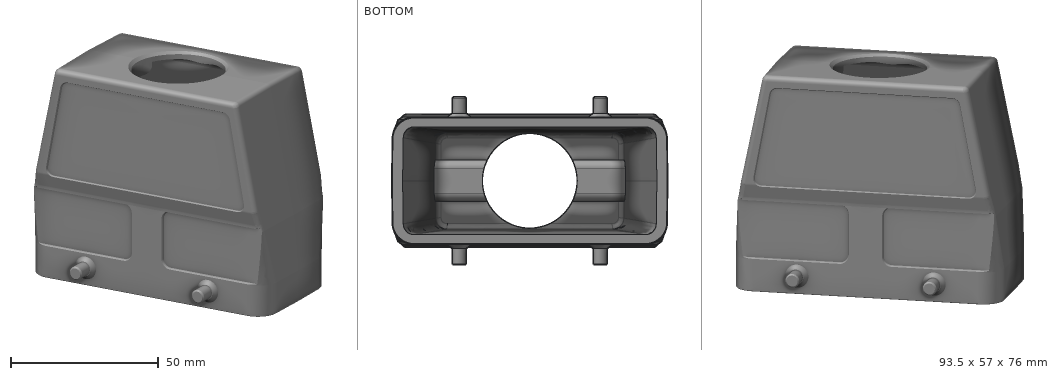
import cadquery as cq

base_half_x = 46.75
base_half_y = 21.5
base_top_z = 11.2
base_corner_radius = 7.3
bend_z = 30.9
shoulder_low_z = 32.35
shoulder_high_z = 37.6
upper_half_y = 22.6
top_half_x = 35.8
ridge_z = 76.0
ridge_drop = 0.4
end_slope = 0.206
end_crown = 0.3
upper_edge_radius = 1.9
shoulder_low_radius = 5.6
shoulder_high_radius = 2.8
base_edge_chamfer = 0.3
edge_tolerance = 0.1

cavity_bottom_half = (43.0, 18.2)
cavity_top_half = (31.8, 16.3)
cavity_corner_radius = 3.7
cavity_roof_radius = 1.9
roof_thickness = 2.9
pad_half_y = 7.0
pad_bottom_z = 69.2
pad_corner_radius = 2.8

entry_diameter = 32.0
entry_chamfer = 1.1

panel_draft = 25.0
window_bottom_z = 36.9
window_top_z = 71.8
window_bottom_half = 39.3
window_top_half = 32.7
window_depth = 0.75
window_corner_radius = 2.8
recess_inner_x = 5.8
recess_outer_x = base_half_x + 1.9
recess_bottom_z = 11.4
recess_top_z = 32.2
recess_depth = 0.8
recess_corner_radius = 3.3

pin_x = 23.8
pin_z = 6.3
pin_diameter = 4.8
pin_tip_y = 28.5
pin_tip_chamfer = 0.5
collar_root_diameter = 8.0
collar_tip_diameter = 5.2
collar_length = 1.3
pin_root_depth = 0.9


def rounded_section(half_x, half_y, radius, z):
    """Closed outline at height z with rounded corners and end faces that peak slightly at y = 0."""
    corner_x = half_x - end_crown
    outline = [
        (half_x, 0), (corner_x, half_y), (-corner_x, half_y),
        (-half_x, 0), (-corner_x, -half_y), (corner_x, -half_y), (half_x, 0),
    ]
    section = cq.Sketch().polygon(outline)
    if radius > 0:
        section = section.vertices(">Y or <Y").fillet(radius)
    return section.moved(cq.Location(cq.Vector(0, 0, z)))


def loft(sections):
    """Straight-sided solid through a list of (half_x, half_y, corner_radius, z) sections."""
    sketches = [rounded_section(*section) for section in sections]
    return cq.Workplane("XY").placeSketch(*sketches).loft(ruled=True)


def upper_half_x(z):
    """Half length of the sloped upper part at height z."""
    return top_half_x + end_slope * (ridge_z - z)


def lower_body():
    """Straight foot, then corners that tighten steadily towards the bend in the end faces."""
    foot_section = (base_half_x, base_half_y, base_corner_radius)
    foot = loft([(*foot_section, 0), (*foot_section, base_top_z)])
    foot = foot.faces("<Z").chamfer(base_edge_chamfer)
    waist = loft([
        (*foot_section, base_top_z),
        (upper_half_x(bend_z), base_half_y, upper_edge_radius, bend_z),
    ])
    return foot.union(waist)


def is_at(edge, z):
    """Whether the middle of an edge lies at height z."""
    return abs(edge.Center().z - z) < edge_tolerance


def side_profile():
    """Bar along X whose cross section has the shoulders and the slightly pitched roof."""
    eaves_z = ridge_z - ridge_drop
    right_half = [
        (base_half_y, bend_z), (base_half_y, shoulder_low_z),
        (upper_half_y, shoulder_high_z), (upper_half_y, eaves_z),
    ]
    left_half = [(-y, z) for y, z in reversed(right_half)]
    bar = (
        cq.Workplane("YZ")
        .polyline([*right_half, (0, ridge_z), *left_half])
        .close()
        .extrude(base_half_x, both=True)
    )
    bar = bar.edges("|X").filter(lambda edge: is_at(edge, shoulder_low_z)).fillet(shoulder_low_radius)
    return bar.edges("|X").filter(lambda edge: is_at(edge, shoulder_high_z)).fillet(shoulder_high_radius)


def upper_body():
    """Sloped hood with rounded edges."""
    hood = loft([
        (upper_half_x(bend_z), upper_half_y, 0, bend_z),
        (upper_half_x(ridge_z), upper_half_y, 0, ridge_z),
    ])
    hood = hood.intersect(side_profile())
    min_corner_y = base_half_y - edge_tolerance
    corner_edges = hood.edges("not |X").filter(lambda edge: abs(edge.Center().y) > min_corner_y)
    roof_outline = hood.faces(">Z").edges("not >Z")
    return corner_edges.add(roof_outline).fillet(upper_edge_radius)


def mirror_to_four(part):
    """The part together with its copies mirrored across the XZ and YZ planes."""
    pair = part.union(part.mirror("YZ"))
    return pair.union(pair.mirror("XZ"))


def cavity():
    """Hollow open at the bottom, without the pads that hang from its roof at both ends."""
    roof_z = ridge_z - roof_thickness
    hollow = loft([
        (*cavity_bottom_half, cavity_corner_radius, 0),
        (*cavity_top_half, cavity_corner_radius, roof_z),
    ])
    hollow = hollow.faces(">Z").edges().fillet(cavity_roof_radius)
    pad = (
        cq.Workplane("XY")
        .box(2 * base_half_x, 2 * pad_half_y, ridge_z - pad_bottom_z, centered=(True, True, False))
        .edges("|X and <Z")
        .fillet(pad_corner_radius)
        .translate((0, 0, pad_bottom_z))
    )
    return hollow.cut(pad)


def cable_entry():
    """Cutter for the round roof opening with its chamfered rim."""
    entry_radius = entry_diameter / 2
    rim_radius = entry_radius + entry_chamfer
    return (
        cq.Workplane("XZ")
        .polyline([
            (0, pad_bottom_z), (entry_radius, pad_bottom_z), (entry_radius, ridge_z - entry_chamfer),
            (rim_radius, ridge_z), (0, ridge_z),
        ])
        .close()
        .revolve(360, (0, 0, 0), (0, 1, 0))
    )


def panel_cutter(corners, rounded_corners, radius, face_y, depth):
    """Cutter for a shallow panel with drafted walls, sunk into the front side at y = -face_y."""
    outline = cq.Sketch().polygon([*corners, corners[0]]).vertices(rounded_corners).fillet(radius)
    mouth = cq.Workplane("XZ", origin=(0, -face_y, 0)).placeSketch(outline)
    return mouth.extrude(-depth, taper=panel_draft)


def window_cutter():
    """Trapezoid panel in the upper part of the front side."""
    corners = [
        (-window_bottom_half, window_bottom_z), (window_bottom_half, window_bottom_z),
        (window_top_half, window_top_z), (-window_top_half, window_top_z),
    ]
    return panel_cutter(corners, None, window_corner_radius, upper_half_y, window_depth)


def recess_cutter():
    """Flat recess in the lower front side, running out through the right end."""
    corners = [
        (recess_inner_x, recess_bottom_z), (recess_outer_x, recess_bottom_z),
        (recess_outer_x, recess_top_z), (recess_inner_x, recess_top_z),
    ]
    return panel_cutter(corners, "<X", recess_corner_radius, base_half_y, recess_depth)


def locking_pin():
    """Pin on the right of the front side with a conical collar at its root."""
    pin_radius = pin_diameter / 2
    root_y = base_half_y - pin_root_depth
    collar_tip_y = base_half_y + collar_length
    return (
        cq.Workplane("XY")
        .polyline([
            (0, -root_y), (collar_root_diameter / 2, -root_y), (collar_root_diameter / 2, -base_half_y),
            (collar_tip_diameter / 2, -collar_tip_y), (pin_radius, -collar_tip_y),
            (pin_radius, -pin_tip_y + pin_tip_chamfer), (pin_radius - pin_tip_chamfer, -pin_tip_y),
            (0, -pin_tip_y),
        ])
        .close()
        .revolve(360, (0, 0, 0), (0, 1, 0))
        .translate((pin_x, 0, pin_z))
    )


window = window_cutter()
result = (
    lower_body()
    .union(upper_body())
    .cut(cavity())
    .cut(cable_entry())
    .cut(window)
    .cut(window.mirror("XZ"))
    .cut(mirror_to_four(recess_cutter()))
    .union(mirror_to_four(locking_pin()))
)